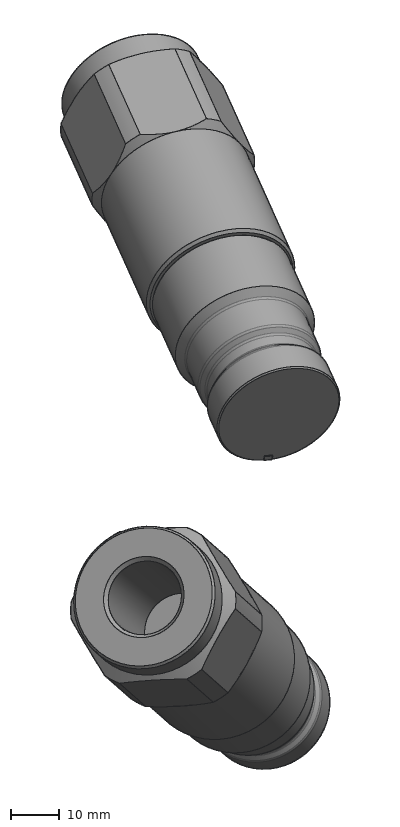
import cadquery as cq
import math

total_length = 98.1
pad_height = 0.3
face_x = total_length - pad_height

collar_radius = 15.0
collar_length = 6.0
collar_chamfer = 0.5

across_flats = 32.0
across_corners = 35.0
grip_end_x = 29.7
rear_cone_angle = 60.0

body_radius = across_flats / 2
body_end_x = 59.9
body_chamfer = 0.6
relief_length = 0.4
relief_radius = 14.6

barrel_radius = 15.0
barrel_end_x = 75.4

plug_radius = 13.2
plug_chamfer = 0.3
groove_radius = 12.0
groove_start_x = 85.3
groove_end_x = 90.9
edge_blend = 0.8

bore_radius = 7.75
bore_depth = 29.4
bore_chamfer = 0.8

pad_y = -2.4
pad_z = -12.0
pad_width = 1.8
pad_thickness = 1.1


def revolve_about_x(points):
    """Turn a closed (x, radius) outline about the X axis."""
    return cq.Workplane("XY").polyline(points).close().revolve(360, (0, 0, 0), (1, 0, 0))


def make_turned_body():
    """Collar, body, barrel and plug as one turned shape."""
    shoulder_end_x = barrel_end_x + barrel_radius - plug_radius
    groove_depth = plug_radius - groove_radius
    relief_end_x = body_end_x + relief_length
    body = revolve_about_x([
        (0, 0),
        (0, collar_radius - collar_chamfer),
        (collar_chamfer, collar_radius),
        (grip_end_x, collar_radius),
        (grip_end_x, body_radius),
        (body_end_x - body_chamfer, body_radius),
        (body_end_x, body_radius - body_chamfer),
        (body_end_x, relief_radius),
        (relief_end_x, barrel_radius),
        (barrel_end_x, barrel_radius),
        (shoulder_end_x, plug_radius),
        (groove_start_x, plug_radius),
        (groove_start_x + groove_depth, groove_radius),
        (groove_end_x - groove_depth, groove_radius),
        (groove_end_x, plug_radius),
        (face_x - plug_chamfer, plug_radius),
        (face_x, plug_radius - plug_chamfer),
        (face_x, 0),
    ])
    blended_edges = cq.selectors.BoxSelector(
        (shoulder_end_x - edge_blend, -body_radius, -body_radius),
        (groove_end_x + edge_blend, body_radius, body_radius),
    )
    return body.edges(blended_edges).edges("%CIRCLE").fillet(edge_blend)


def make_grip():
    """Hexagonal bar with its corners rounded and both ends turned to cones."""
    corner_radius = across_corners / 2
    rear_cone_length = (corner_radius - collar_radius) / math.tan(math.radians(rear_cone_angle))
    front_cone_length = corner_radius - body_radius
    hexagon = (
        cq.Workplane("YZ", origin=(collar_length, 0, 0))
        .polygon(6, across_flats, circumscribed=True)
        .extrude(grip_end_x - collar_length)
        .rotate((0, 0, 0), (1, 0, 0), 90)
    )
    envelope = revolve_about_x([
        (collar_length, 0),
        (collar_length, collar_radius),
        (collar_length + rear_cone_length, corner_radius),
        (grip_end_x - front_cone_length, corner_radius),
        (grip_end_x, body_radius),
        (grip_end_x, 0),
    ])
    return hexagon.intersect(envelope)


def make_bore():
    """Blind bore with a chamfered mouth."""
    return revolve_about_x([
        (0, 0),
        (0, bore_radius + bore_chamfer),
        (bore_chamfer, bore_radius),
        (bore_depth, bore_radius),
        (bore_depth, 0),
    ])


def make_pad():
    """Raised pad on the front face, set tangentially around the axis."""
    tilt = math.degrees(math.atan2(-pad_y, -pad_z))
    return (
        cq.Workplane("YZ", origin=(face_x, pad_y, pad_z))
        .transformed(rotate=(0, 0, -tilt))
        .rect(pad_width, pad_thickness)
        .extrude(pad_height)
    )


result = make_turned_body().union(make_grip()).cut(make_bore()).union(make_pad())